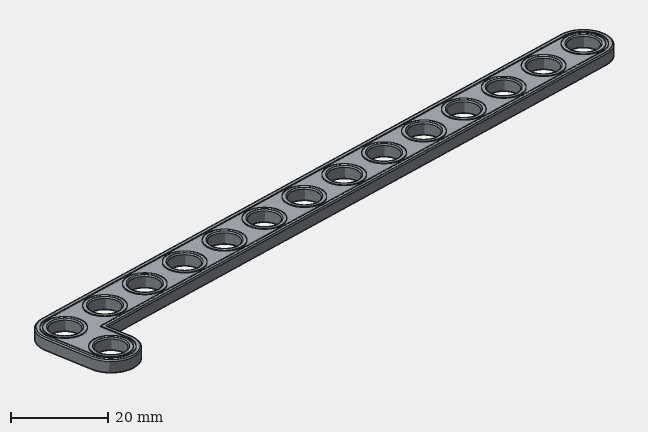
import cadquery as cq
import math

pitch = 12.5
long_arm_holes = 14
thickness = 3.12
hole_diameter = 7.0
rim_width = 1.1
recess_depth = 0.2
edge_chamfer = 0.3

beam_radius = pitch / 2
long_arm_length = (long_arm_holes - 1) * pitch
ring_diameter = hole_diameter + 2 * rim_width
chamfered_hole_diameter = hole_diameter + 2 * edge_chamfer

hole_centers = [(0, row * pitch) for row in range(long_arm_holes)] + [(pitch, 0)]


def angle_outline(half_width):
    """L-shaped profile with rounded ends, half_width either side of the hole lines."""
    corner_offset = half_width * math.sqrt(0.5)
    return (
        cq.Workplane("XY")
        .moveTo(half_width, half_width)
        .lineTo(half_width, long_arm_length)
        .threePointArc((0, long_arm_length + half_width), (-half_width, long_arm_length))
        .lineTo(-half_width, 0)
        .threePointArc((-corner_offset, -corner_offset), (0, -half_width))
        .lineTo(pitch, -half_width)
        .threePointArc((pitch + half_width, 0), (pitch, half_width))
        .close()
    )


def plate():
    """Flat beam with its outer edges chamfered on both faces."""
    blank = angle_outline(beam_radius).extrude(thickness)
    return blank.faces("<Z or >Z").edges().chamfer(edge_chamfer)


def recess():
    """Shallow pocket in the top face, inside the rim and around the raised hole rings."""
    pocket = angle_outline(beam_radius - rim_width).extrude(recess_depth)
    rings = cq.Workplane("XY").pushPoints(hole_centers).circle(ring_diameter / 2).extrude(recess_depth)
    return pocket.cut(rings).translate((0, 0, thickness - recess_depth))


def chamfered_hole_cutter():
    """Solid of one through hole, flared at both ends to chamfer the hole edges."""
    hole_radius = hole_diameter / 2
    flared_radius = chamfered_hole_diameter / 2
    return (
        cq.Workplane("XZ")
        .moveTo(0, 0)
        .lineTo(flared_radius, 0)
        .lineTo(hole_radius, edge_chamfer)
        .lineTo(hole_radius, thickness - edge_chamfer)
        .lineTo(flared_radius, thickness)
        .lineTo(0, thickness)
        .close()
        .revolve(360, (0, 0, 0), (0, 1, 0))
    )


result = plate().cut(recess())
hole_cutter = chamfered_hole_cutter()
for x, y in hole_centers:
    result = result.cut(hole_cutter.translate((x, y, 0)))